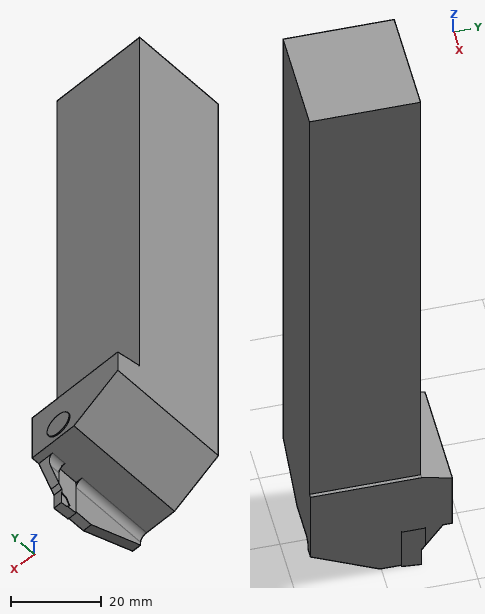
import cadquery as cq

tool_length = 151.4
shank_size = 25.1
head_width = 26.0
head_depth = 32.1

head_top = 28.6
head_slope_drop = 1.8
head_bottom = 11.8
chamfer_top = 20.0
chamfer_width = 13.3

blade_thickness = 2.4
blade_left = head_width - blade_thickness
blade_bottom = 0.9
blade_front_height = 9.0
blade_toe_y = 15.7
blade_root_radius = 1.8
jaw_root_y = 30.0

boss_diameter = 6.7
boss_x = 17.9
boss_z = 16.5
boss_depth = 32.4

insert_front = 20.6
insert_back = 26.0
insert_heel = 0.5
tip_y = shank_size
tip_flank_height = 4.8

relief_depth = 0.2
relief_height = 3.6
relief_length = 2.5
relief_corner_drop = 0.6
relief_corner_length = 1.5
relief_toe_height = 1.2


def jaw_edge_height(y):
    """Height of the sloping back edge shared by the blade and the insert."""
    slope = (head_bottom - tip_flank_height) / (jaw_root_y - tip_y)
    return tip_flank_height + slope * (y - tip_y)


def side_prism(points, x_start, x_end):
    """Extrude a (Y, Z) outline between two X positions."""
    return (
        cq.Workplane("YZ", origin=(x_start, 0, 0))
        .polyline(points)
        .close()
        .extrude(x_end - x_start)
    )


def make_shank_and_head():
    """Square shank with a wider, deeper head that has one sloping corner."""
    shank = cq.Workplane("XY", origin=(0, 0, head_bottom)).box(
        shank_size, shank_size, tool_length - head_bottom, centered=False
    )
    head = side_prism(
        [
            (0, head_bottom),
            (head_depth, head_bottom),
            (head_depth, head_top - head_slope_drop),
            (shank_size, head_top),
            (0, head_top),
        ],
        0,
        head_width,
    )
    corner = (
        cq.Workplane("XZ")
        .polyline([(0, head_bottom), (chamfer_width, head_bottom), (0, chamfer_top)])
        .close()
        .extrude(-head_depth)
    )
    return shank.union(head).cut(corner)


def make_blade():
    """Thin blade with a sloping front edge and a sloping back jaw."""
    return side_prism(
        [
            (0, head_bottom),
            (0, blade_front_height),
            (blade_toe_y, blade_bottom),
            (tip_y, blade_bottom),
            (tip_y, tip_flank_height),
            (jaw_root_y, head_bottom),
        ],
        blade_left,
        head_width,
    )


def make_blade_root():
    """Concave round joining the blade to the underside of the head."""
    start_x = blade_left - blade_root_radius
    root = (
        cq.Workplane("XZ")
        .moveTo(start_x, head_bottom)
        .lineTo(blade_left, head_bottom)
        .lineTo(blade_left, head_bottom - blade_root_radius)
        .radiusArc((start_x, head_bottom), -blade_root_radius)
        .close()
        .extrude(-jaw_root_y)
    )
    behind_jaw = side_prism(
        [(tip_y, tip_flank_height), (jaw_root_y, head_bottom), (jaw_root_y, tip_flank_height)],
        start_x,
        head_width,
    )
    return root.cut(behind_jaw)


def make_boss():
    """Low round boss on the back face of the head."""
    return (
        cq.Workplane("XZ", origin=(0, head_depth, 0))
        .center(boss_x, boss_z)
        .circle(boss_diameter / 2)
        .extrude(head_depth - boss_depth)
    )


def make_insert_seat():
    """Slot for the insert, which also interrupts the rounded blade root."""
    return cq.Workplane("XY", origin=(blade_left - blade_root_radius, insert_front, 0)).box(
        blade_thickness + blade_root_radius,
        insert_back - insert_front,
        head_bottom,
        centered=False,
    )


def make_holder():
    holder = make_shank_and_head().union(make_blade()).union(make_blade_root())
    return holder.union(make_boss()).cut(make_insert_seat())


def make_insert():
    """Cutting insert with a pointed tip, filling the slot in the blade."""
    body = side_prism(
        [
            (insert_front, insert_heel),
            (tip_y, 0),
            (tip_y, tip_flank_height),
            (insert_back, jaw_edge_height(insert_back)),
            (insert_back, head_bottom),
            (insert_front, head_bottom),
        ],
        blade_left,
        head_width,
    )
    relief = side_prism(
        [
            (tip_y, 0),
            (tip_y, relief_height),
            (tip_y - relief_corner_length, relief_height - relief_corner_drop),
            (tip_y - relief_length, relief_toe_height),
            (tip_y - relief_corner_length, 0),
        ],
        blade_left,
        blade_left + relief_depth,
    )
    return body.cut(relief)


holder = make_holder()
insert = make_insert()
result = cq.Compound.makeCompound([holder.val(), insert.val()])